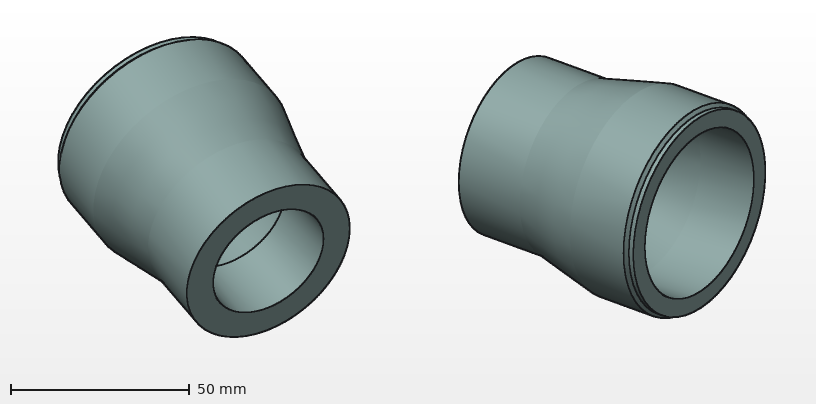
import cadquery as cq

length = 64.5
large_diameter = 63.0
small_diameter = 52.8
section_length = length / 3

lip_diameter = 60.9
lip_length = 1.55
bevel_length = (large_diameter - lip_diameter) / 2

large_bore = 50.2
large_bore_depth = 18.8
throat_diameter = 40.0
small_bore = 35.75

transition_start = section_length
transition_end = length - section_length


def outer_body():
    """Solid outer shape, revolved about X."""
    profile = (
        cq.Workplane("XY")
        .lineTo(0, lip_diameter / 2)
        .lineTo(lip_length, lip_diameter / 2)
        .lineTo(lip_length + bevel_length, large_diameter / 2)
        .lineTo(transition_start, large_diameter / 2)
        .lineTo(transition_end, small_diameter / 2)
        .lineTo(length, small_diameter / 2)
        .lineTo(length, 0)
        .close()
    )
    return profile.revolve(360, (0, 0, 0), (1, 0, 0))


def bore():
    """Stepped through bore with a tapered transition."""
    profile = (
        cq.Workplane("XY")
        .lineTo(0, large_bore / 2)
        .lineTo(large_bore_depth, large_bore / 2)
        .lineTo(transition_end, throat_diameter / 2)
        .lineTo(transition_end, small_bore / 2)
        .lineTo(length, small_bore / 2)
        .lineTo(length, 0)
        .close()
    )
    return profile.revolve(360, (0, 0, 0), (1, 0, 0))


result = outer_body().cut(bore())